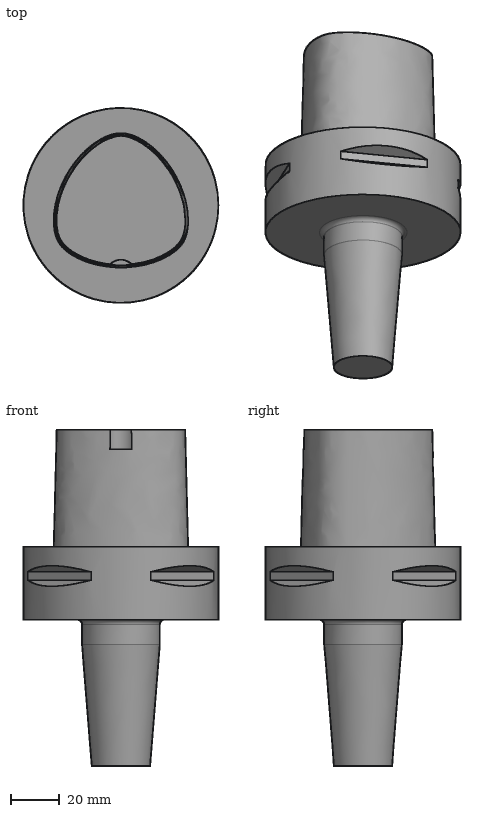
import cadquery as cq
import math

total_height = 138.0
flange_bottom = 60.0
flange_top = 90.0
cone_height = 50.0

tip_diameter = 24.0
neck_diameter = 32.0
neck_fillet = 2.0
flange_diameter = 80.0

shank_diameter = 55.2
shank_taper = 1 / 20
lobe_offset = 2.1
lobe_count = 3
outline_point_count = 36

groove_count = 4
groove_first_angle = 45.0
groove_height = 78.0
groove_floor_width = 3.3
groove_floor_distance = 35.6
groove_flank_angle = 30.0
groove_overcut = 1.4

notch_diameter = 12.0
notch_depth = 8.0
notch_center_y = -28.3


def make_nose_and_flange():
    """Cone, straight neck and flange turned about Z, with a filleted neck root."""
    neck_radius = neck_diameter / 2
    flange_radius = flange_diameter / 2
    fillet_sagitta = neck_fillet * (1 - math.sqrt(0.5))
    return (
        cq.Workplane("XZ")
        .moveTo(0, 0)
        .lineTo(tip_diameter / 2, 0)
        .lineTo(neck_radius, cone_height)
        .lineTo(neck_radius, flange_bottom - neck_fillet)
        .threePointArc(
            (neck_radius + fillet_sagitta, flange_bottom - fillet_sagitta),
            (neck_radius + neck_fillet, flange_bottom),
        )
        .lineTo(flange_radius, flange_bottom)
        .lineTo(flange_radius, flange_top)
        .lineTo(0, flange_top)
        .close()
        .revolve(360, (0, 0, 0), (0, 1, 0))
    )


def lobed_point(mean_radius, angle):
    """Point on a constant-width lobed curve with one lobe towards +Y."""
    lobe_angle = lobe_count * (angle - math.pi / 2)
    reach = mean_radius + lobe_offset * math.cos(lobe_angle)
    reach_slope = -lobe_count * lobe_offset * math.sin(lobe_angle)
    return (
        reach * math.cos(angle) - reach_slope * math.sin(angle),
        reach * math.sin(angle) + reach_slope * math.cos(angle),
    )


def lobed_outline(mean_radius):
    """Points along the whole lobed curve, evenly spaced in direction."""
    step = 2 * math.pi / outline_point_count
    return [lobed_point(mean_radius, index * step) for index in range(outline_point_count)]


def make_shank():
    """Lobed taper lofted from the flange face to the shank end."""
    shank_length = total_height - flange_top
    base_radius = shank_diameter / 2
    end_radius = (shank_diameter - shank_length * shank_taper) / 2
    return (
        cq.Workplane("XY", origin=(0, 0, flange_top))
        .spline(lobed_outline(base_radius), periodic=True)
        .close()
        .workplane(offset=shank_length)
        .spline(lobed_outline(end_radius), periodic=True)
        .close()
        .loft(ruled=True)
    )


def make_groove(angle):
    """Flat-floored straight groove with sloping flanks, cut in the flange rim."""
    outer_distance = flange_diameter / 2 + groove_overcut
    flank_rise = (outer_distance - groove_floor_distance) * math.tan(math.radians(groove_flank_angle))
    floor_half = groove_floor_width / 2
    mouth_half = floor_half + flank_rise
    return (
        cq.Workplane("XZ")
        .polyline([
            (groove_floor_distance, groove_height - floor_half),
            (outer_distance, groove_height - mouth_half),
            (outer_distance, groove_height + mouth_half),
            (groove_floor_distance, groove_height + floor_half),
        ])
        .close()
        .extrude(flange_diameter / 2, both=True)
        .rotate((0, 0, 0), (0, 0, 1), angle)
    )


def make_notch():
    """Round-backed notch open at the shank end and its -Y side."""
    return (
        cq.Workplane("XY", origin=(0, notch_center_y, total_height - notch_depth))
        .circle(notch_diameter / 2)
        .extrude(notch_depth)
    )


body = make_nose_and_flange().union(make_shank())
for index in range(groove_count):
    groove_angle = groove_first_angle + index * 360 / groove_count
    body = body.cut(make_groove(groove_angle))
result = body.cut(make_notch())